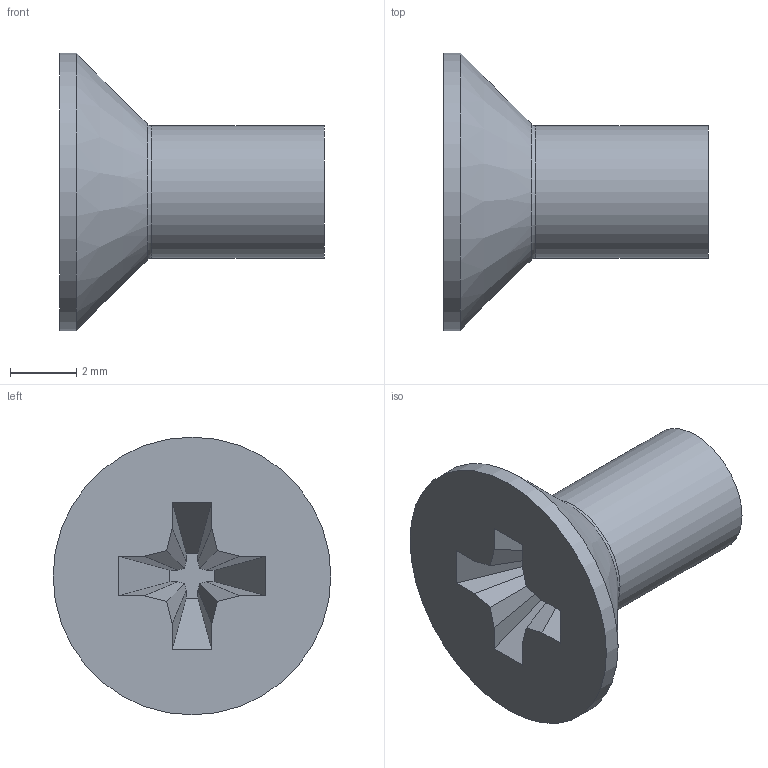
import cadquery as cq
import math

LENGTH = 8.0
HEAD_DIAMETER = 8.4
SHANK_DIAMETER = 4.0
RIM_THICKNESS = 0.5
CONE_ANGLE = 45.0
NECK_FILLET = 0.2

ARM_REACH = 2.227
ARM_HALF_WIDTH = 0.6
FLARE_START = 1.44
INNER_CORNER = 0.77
RECESS_DEPTH = 2.4
FLOOR_SCALE = 0.3

head_radius = HEAD_DIAMETER / 2
shank_radius = SHANK_DIAMETER / 2
cone_length = (head_radius - shank_radius) / math.tan(math.radians(CONE_ANGLE))
head_height = RIM_THICKNESS + cone_length


def screw_body():
    """Head, cone and shank as one revolved profile with a filleted neck."""
    half_angle = math.radians(CONE_ANGLE) / 2
    setback = NECK_FILLET * math.tan(half_angle)
    fillet_centre_radius = shank_radius + NECK_FILLET
    fillet_end_x = head_height + setback

    def on_fillet(angle):
        x = fillet_end_x - NECK_FILLET * math.sin(angle)
        return (x, fillet_centre_radius - NECK_FILLET * math.cos(angle))

    profile = (
        cq.Workplane("XY")
        .moveTo(0, 0)
        .lineTo(0, head_radius)
        .lineTo(RIM_THICKNESS, head_radius)
        .lineTo(*on_fillet(2 * half_angle))
        .threePointArc(on_fillet(half_angle), (fillet_end_x, shank_radius))
        .lineTo(LENGTH, shank_radius)
        .lineTo(LENGTH, 0)
        .close()
    )
    return profile.revolve(360, (0, 0, 0), (1, 0, 0))


def cross_outline(scale):
    """Corner points of the cross, one arm and its following inside corner at a time."""
    arm = [
        (FLARE_START, -ARM_HALF_WIDTH),
        (ARM_REACH, -ARM_HALF_WIDTH),
        (ARM_REACH, ARM_HALF_WIDTH),
        (FLARE_START, ARM_HALF_WIDTH),
        (INNER_CORNER, INNER_CORNER),
    ]
    points = []
    for _ in range(4):
        points += [(scale * y, scale * z) for y, z in arm]
        arm = [(-z, y) for y, z in arm]
    return points


def cross_recess():
    """Tapered cross, narrowing from the head face to a flat floor."""
    return (
        cq.Workplane("YZ")
        .polyline(cross_outline(1.0))
        .close()
        .workplane(offset=RECESS_DEPTH)
        .polyline(cross_outline(FLOOR_SCALE))
        .close()
        .loft(ruled=True)
    )


result = screw_body().cut(cross_recess())